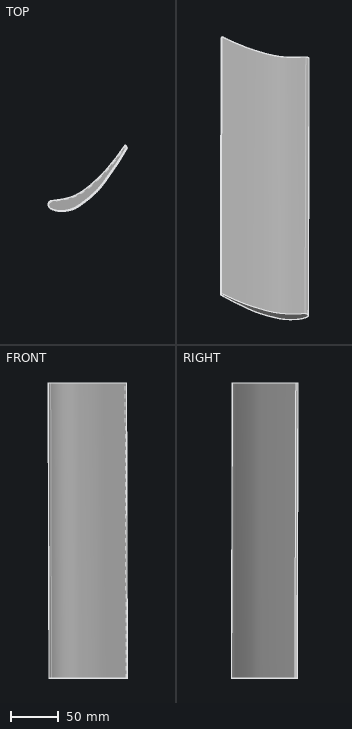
import cadquery as cq

span = 310.5
lean_x = 1.0
lean_y = -1.0

nose_tip = (0.0, 7.5)
concave_side = [
    (2.8, 11.5), (12.7, 12.7), (26.7, 16.5), (38.2, 23.0),
    (49.0, 32.0), (61.2, 44.0), (70.8, 56.0), (81.0, 70.2),
]
convex_side = [
    (82.5, 67.7), (75.7, 56.2), (66.5, 42.5), (53.0, 24.5), (43.0, 15.0),
    (35.0, 8.7), (27.5, 4.0), (21.0, 2.0), (13.7, 1.0), (2.8, 3.5),
]


def add_section(workplane):
    """Draw the closed aerofoil: concave curve, blunt tail, convex curve, nose arc."""
    return (
        workplane.moveTo(*concave_side[0])
        .spline(concave_side[1:], includeCurrent=True)
        .lineTo(*convex_side[0])
        .spline(convex_side[1:], includeCurrent=True)
        .threePointArc(nose_tip, concave_side[0])
        .close()
    )


bottom_plane = cq.Workplane("XY").center(lean_x, lean_y)
bottom_section = add_section(bottom_plane)
top_plane = bottom_section.workplane(offset=span).center(-lean_x, -lean_y)
result = add_section(top_plane).loft(ruled=True, combine=True)